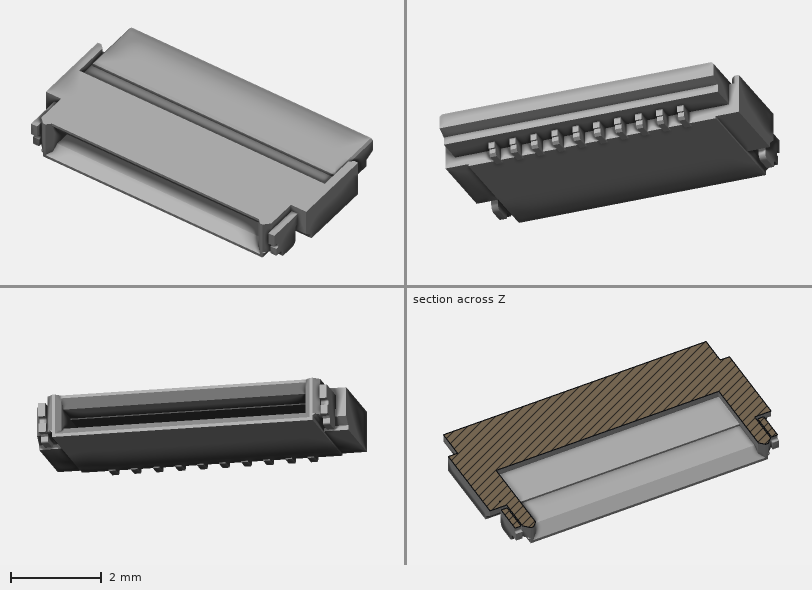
import cadquery as cq

OVERLAP = 0.1

HOUSING_WIDTH = 7.0
HOUSING_DEPTH = 2.9
HOUSING_TOP = 1.0
NOSE_HALF_WIDTH = 3.09
NOSE_CORNER = 0.14
WING_FRONT = 0.9
WING_BOTTOM = 0.08
WING_SLOPE_TOP = 0.345
WING_SLOPE_RUN = 0.2
KEEL_HALF_WIDTH = NOSE_HALF_WIDTH - NOSE_CORNER
KEEL_BOTTOM = 0.03
KEEL_FLARE = 0.06
KEEL_FLARE_BOTTOM = 0.135
NOSE_BOTTOM = 0.185

CAVITY_HALF_WIDTH = 2.765
CAVITY_DEPTH = 2.0
CAVITY_STEP_DEPTH = 1.0
MOUTH_FLARE = 0.12
MOUTH_FLOOR = 0.1
FLOOR = 0.29
FLOOR_RAMP_DEPTH = 0.29
LIP_SETBACK = 0.105
LIP_BOTTOM = 0.935
CEILING = 0.72
CEILING_RAMP_DEPTH = 0.265
SLOT_FLOOR = 0.34
SLOT_CEILING = 0.695

POCKET_HALF_WIDTH = 3.3
POCKET_FRONT = 1.9
POCKET_FLOOR = 0.81
POCKET_BEVEL = 0.1

LID_HALF_WIDTH = 3.27
LID_FRONT = 2.37
LID_REAR = 3.8
LID_TOP = 0.935
LID_CHAMFER = 0.05
LID_BOTTOM = 0.31
LID_HEEL = 3.55
LID_HEEL_TOP = 0.49
LID_REAR_BOTTOM = 0.595

CONTACT_COUNT = 10
CONTACT_PITCH = 0.5
CONTACT_WIDTH = 0.15
TAIL_FRONT = 2.8
TAIL_REAR = 3.26
TAIL_STEP = 0.05
TAIL_STEP_HEIGHT = 0.16
TAIL_TOE_CHAMFER = 0.06

CLIP_INNER = 3.11
CLIP_THICKNESS = 0.16
CLIP_TOP = 0.826
CLIP_ARM_BOTTOM = 0.52
CLIP_ARM_REAR = WING_FRONT + 0.3
CLIP_NECK_FRONT = 0.155
CLIP_NUB_FRONT = 0.08
CLIP_NUB_TOP = 0.385
CLIP_NUB_BOTTOM = 0.185
CLIP_LEG_FRONT = 0.31
CLIP_LEG_REAR = 0.82
CLIP_RELIEF = 0.045
CLIP_CORNER_RADIUS = 0.04
CLIP_TOE_RADIUS = 0.04
CLIP_HEEL_RADIUS = 0.14


def extrude_across(points, half_width):
    """Extrude a (Y, Z) outline symmetrically about X = 0."""
    return cq.Workplane("YZ").polyline(points).close().extrude(half_width, both=True)


def make_nose():
    """Central block with clipped front corners, standing on a narrower keel with flared sides."""
    plan = [
        (-KEEL_HALF_WIDTH, 0),
        (KEEL_HALF_WIDTH, 0),
        (NOSE_HALF_WIDTH, NOSE_CORNER),
        (NOSE_HALF_WIDTH, HOUSING_DEPTH),
        (-NOSE_HALF_WIDTH, HOUSING_DEPTH),
        (-NOSE_HALF_WIDTH, NOSE_CORNER),
    ]
    upper = (
        cq.Workplane("XY")
        .workplane(offset=NOSE_BOTTOM)
        .polyline(plan)
        .close()
        .extrude(HOUSING_TOP - NOSE_BOTTOM)
    )
    shoulder = KEEL_HALF_WIDTH + KEEL_FLARE
    section = [
        (-KEEL_HALF_WIDTH, KEEL_BOTTOM),
        (KEEL_HALF_WIDTH, KEEL_BOTTOM),
        (KEEL_HALF_WIDTH, KEEL_FLARE_BOTTOM),
        (shoulder, NOSE_BOTTOM),
        (-shoulder, NOSE_BOTTOM),
        (-KEEL_HALF_WIDTH, KEEL_FLARE_BOTTOM),
    ]
    keel = cq.Workplane("XZ").polyline(section).close().extrude(-HOUSING_DEPTH)
    return upper.union(keel)


def make_wings():
    """Full-width block whose ends form the wings, undercut by a slope at the front."""
    undercut_rear = WING_FRONT + WING_SLOPE_RUN
    profile = [
        (WING_FRONT, HOUSING_TOP),
        (WING_FRONT, WING_SLOPE_TOP),
        (undercut_rear, NOSE_BOTTOM),
        (undercut_rear, WING_BOTTOM),
        (HOUSING_DEPTH, WING_BOTTOM),
        (HOUSING_DEPTH, HOUSING_TOP),
    ]
    return extrude_across(profile, HOUSING_WIDTH / 2)


def make_cavity():
    """Cable opening: ramped floor and ceiling, flared sides, and a lower slot at the back."""
    profile = [
        (0, MOUTH_FLOOR),
        (FLOOR_RAMP_DEPTH, FLOOR),
        (CAVITY_STEP_DEPTH, FLOOR),
        (CAVITY_STEP_DEPTH, SLOT_FLOOR),
        (CAVITY_DEPTH, SLOT_FLOOR),
        (CAVITY_DEPTH, SLOT_CEILING),
        (CAVITY_STEP_DEPTH, SLOT_CEILING),
        (CAVITY_STEP_DEPTH, CEILING),
        (CEILING_RAMP_DEPTH, CEILING),
        (LIP_SETBACK, LIP_BOTTOM),
        (LIP_SETBACK, HOUSING_TOP),
        (0, HOUSING_TOP),
    ]
    mouth_half_width = CAVITY_HALF_WIDTH + MOUTH_FLARE
    plan = [
        (-mouth_half_width, 0),
        (mouth_half_width, 0),
        (CAVITY_HALF_WIDTH, MOUTH_FLARE),
        (CAVITY_HALF_WIDTH, CAVITY_DEPTH),
        (-CAVITY_HALF_WIDTH, CAVITY_DEPTH),
        (-CAVITY_HALF_WIDTH, MOUTH_FLARE),
    ]
    plan_prism = cq.Workplane("XY").polyline(plan).close().extrude(HOUSING_TOP)
    return extrude_across(profile, mouth_half_width).intersect(plan_prism)


def make_lid_pocket():
    """Pocket open at the top and rear, widening at a bevel where it meets the rear face."""
    bevel_front = HOUSING_DEPTH - POCKET_BEVEL
    rear_half_width = POCKET_HALF_WIDTH + POCKET_BEVEL
    plan = [
        (-POCKET_HALF_WIDTH, POCKET_FRONT),
        (POCKET_HALF_WIDTH, POCKET_FRONT),
        (POCKET_HALF_WIDTH, bevel_front),
        (rear_half_width, HOUSING_DEPTH),
        (-rear_half_width, HOUSING_DEPTH),
        (-POCKET_HALF_WIDTH, bevel_front),
    ]
    return (
        cq.Workplane("XY")
        .workplane(offset=POCKET_FLOOR)
        .polyline(plan)
        .close()
        .extrude(HOUSING_TOP - POCKET_FLOOR + OVERLAP)
    )


def make_lid():
    profile = [
        (LID_FRONT, LID_BOTTOM),
        (LID_HEEL, LID_BOTTOM),
        (LID_HEEL, LID_HEEL_TOP),
        (LID_REAR, LID_REAR_BOTTOM),
        (LID_REAR, LID_TOP),
        (LID_FRONT, LID_TOP),
    ]
    lid = extrude_across(profile, LID_HALF_WIDTH)
    return lid.faces(">Z").edges("|Y or <Y").chamfer(LID_CHAMFER)


def make_contact_tail(center_x):
    foot_rear = TAIL_REAR - TAIL_STEP
    profile = [
        (TAIL_FRONT, 0),
        (foot_rear - TAIL_TOE_CHAMFER, 0),
        (foot_rear, TAIL_TOE_CHAMFER),
        (foot_rear, TAIL_STEP_HEIGHT),
        (TAIL_REAR, TAIL_STEP_HEIGHT),
        (TAIL_REAR, LID_BOTTOM),
        (TAIL_FRONT, LID_BOTTOM),
    ]
    return extrude_across(profile, CONTACT_WIDTH / 2).translate((center_x, 0, 0))


def make_clip():
    """Hold-down clip on the +X side: an arm held in the wing and a leg with a forward nub."""
    profile = [
        (0, CLIP_TOP),
        (0, CLIP_ARM_BOTTOM),
        (CLIP_NECK_FRONT, CLIP_ARM_BOTTOM),
        (CLIP_NECK_FRONT, CLIP_NUB_TOP),
        (CLIP_NUB_FRONT, CLIP_NUB_TOP),
        (CLIP_NUB_FRONT, CLIP_NUB_BOTTOM),
        (CLIP_LEG_FRONT - CLIP_RELIEF, CLIP_NUB_BOTTOM),
        (CLIP_LEG_FRONT, CLIP_NUB_BOTTOM - CLIP_RELIEF),
        (CLIP_LEG_FRONT, 0),
        (CLIP_LEG_REAR, 0),
        (CLIP_LEG_REAR, CLIP_ARM_BOTTOM),
        (CLIP_ARM_REAR, CLIP_ARM_BOTTOM),
        (CLIP_ARM_REAR, CLIP_TOP),
    ]
    clip = (
        cq.Workplane("YZ")
        .workplane(offset=CLIP_INNER)
        .polyline(profile)
        .close()
        .extrude(CLIP_THICKNESS)
    )
    rounded_corners = [
        (CLIP_NECK_FRONT, CLIP_ARM_BOTTOM, CLIP_CORNER_RADIUS),
        (CLIP_NECK_FRONT, CLIP_NUB_TOP, CLIP_CORNER_RADIUS),
        (CLIP_LEG_REAR, CLIP_ARM_BOTTOM, CLIP_CORNER_RADIUS),
        (CLIP_LEG_FRONT, 0, CLIP_TOE_RADIUS),
        (CLIP_LEG_REAR, 0, CLIP_HEEL_RADIUS),
    ]
    mid_x = CLIP_INNER + CLIP_THICKNESS / 2
    for y, z, radius in rounded_corners:
        clip = clip.edges("|X").edges(cq.NearestToPointSelector((mid_x, y, z))).fillet(radius)
    return clip


housing = make_nose().union(make_wings()).cut(make_cavity()).cut(make_lid_pocket())

result = housing.union(make_lid())
for index in range(CONTACT_COUNT):
    contact_x = (index - (CONTACT_COUNT - 1) / 2) * CONTACT_PITCH
    result = result.union(make_contact_tail(contact_x))

clip = make_clip()
result = result.union(clip).union(clip.mirror("YZ"))